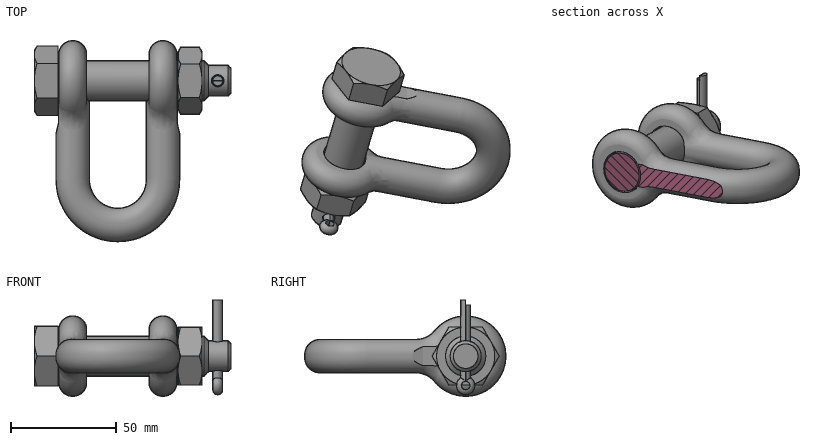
import cadquery as cq
import math


leg_x = 21.4
bar_size = 15.95
bar_flat = 1.2
bar_corner = (bar_size - bar_flat) / 2
leg_outer_x = leg_x + bar_size / 2
bow_y = -76.4
bend_y = bow_y + leg_outer_x

eye_radius = 19.1
eye_width = 13.2
eye_rim_radius = 6.7
eye_bore_radius = 10.1
eye_blend = 11.5

relief_x = 28.3
relief_level_y = -20.2
relief_end_y = -25.1

shank_radius = 9.55
head_start_x = -39.6
head_end_x = -28.4
head_width = 28.6
neck_radius = 7.4
bolt_end_x = 53.8
cone_start_x = 40.9
cone_end_x = cone_start_x + shank_radius - neck_radius
bolt_end_chamfer = 1.5

nut_start_x = 28.6
nut_end_x = 39.9
nut_width = 27.6
hex_chamfer_angle = 30.0

cotter_x = 47.4
cotter_radius = 2.4
cotter_hole_radius = 2.9
cotter_slit = 0.1
front_prong_top = 26.6
back_prong_top = 24.4
loop_inner_radius = 2.0
loop_outer_radius = loop_inner_radius + cotter_radius
loop_bottom_z = -18.3
loop_z = loop_bottom_z + loop_outer_radius


def x_cylinder(radius, start_x, end_x):
    """A cylinder on the bolt axis."""
    return cq.Workplane("YZ", origin=(start_x, 0, 0)).circle(radius).extrude(end_x - start_x)


def bar_section():
    """The rounded square section of the bar, where the left leg meets the bend."""
    section = cq.Sketch().rect(bar_size, bar_size).vertices().fillet(bar_corner)
    return cq.Workplane("XZ", origin=(-leg_x, bend_y, 0)).placeSketch(section)


def make_eye():
    """The left eye as a disc with a round rim."""
    rim_centre = eye_radius - eye_rim_radius
    face_radius = rim_centre + math.sqrt(eye_rim_radius ** 2 - (eye_width / 2) ** 2)
    left_x = -leg_x - eye_width / 2
    right_x = -leg_x + eye_width / 2
    return (
        cq.Workplane("XY")
        .moveTo(left_x, 0)
        .lineTo(left_x, face_radius)
        .threePointArc((-leg_x, eye_radius), (right_x, face_radius))
        .lineTo(right_x, 0)
        .close()
        .revolve(360, (0, 0, 0), (1, 0, 0))
    )


def make_relief():
    """The material taken off the outside of the left leg."""
    return (
        cq.Workplane("XY")
        .moveTo(-relief_x, 0)
        .lineTo(-relief_x, relief_level_y)
        .lineTo(-leg_outer_x, relief_end_y)
        .lineTo(-leg_outer_x, 0)
        .close()
        .extrude(bar_size / 2, both=True)
    )


def make_left_leg():
    """The left leg with its eye, blended, relieved and bored."""
    leg = bar_section().extrude(bend_y).union(make_eye())
    seam_box = cq.selectors.BoxSelector(
        (-leg_outer_x, -eye_radius, -bar_size),
        (0, -eye_radius / 4, bar_size),
    )
    blended = leg.edges(seam_box).fillet(eye_blend)
    bore = x_cylinder(eye_bore_radius, -leg_outer_x, 0)
    return blended.cut(make_relief()).cut(bore)


def make_shackle():
    """Both legs joined by the half-circle bend."""
    left_leg = make_left_leg()
    bend = bar_section().revolve(180, (leg_x, 0, 0), (leg_x, 1, 0))
    return left_leg.union(bend).union(left_leg.mirror("YZ"))


def make_hex(width, start_x, end_x):
    """A hexagonal prism on the bolt axis, with flats facing up and down."""
    corner_diameter = width / math.cos(math.pi / 6)
    prism = cq.Workplane("YZ", origin=(start_x, 0, 0)).polygon(6, corner_diameter)
    return prism.extrude(end_x - start_x)


def hex_chamfer_cone(width, face_x, inward):
    """A cone that trims the corners of a hexagon at one end face; inward is its X direction."""
    face_radius = width / 2
    base_radius = width
    height = (base_radius - face_radius) * math.tan(math.radians(hex_chamfer_angle))
    base_x = face_x + inward * height
    far_x = face_x + inward * 2 * width
    return (
        cq.Workplane("XY")
        .moveTo(face_x, 0)
        .lineTo(face_x, face_radius)
        .lineTo(base_x, base_radius)
        .lineTo(far_x, base_radius)
        .lineTo(far_x, 0)
        .close()
        .revolve(360, (0, 0, 0), (1, 0, 0))
    )


def make_bolt():
    """Hexagon head, shank, cone and neck, with a cross hole for the cotter pin."""
    head = make_hex(head_width, head_start_x, head_end_x)
    head = head.intersect(hex_chamfer_cone(head_width, head_start_x, 1))
    shank = (
        cq.Workplane("XY")
        .moveTo(head_end_x, 0)
        .lineTo(head_end_x, shank_radius)
        .lineTo(cone_start_x, shank_radius)
        .lineTo(cone_end_x, neck_radius)
        .lineTo(bolt_end_x - bolt_end_chamfer, neck_radius)
        .lineTo(bolt_end_x, neck_radius - bolt_end_chamfer)
        .lineTo(bolt_end_x, 0)
        .close()
        .revolve(360, (0, 0, 0), (1, 0, 0))
    )
    cotter_hole = (
        cq.Workplane("XY", origin=(cotter_x, 0, 0))
        .circle(cotter_hole_radius)
        .extrude(shank_radius, both=True)
    )
    return head.union(shank).cut(cotter_hole)


def make_nut():
    """A hexagon chamfered at both ends, bored to the shank."""
    nut = make_hex(nut_width, nut_start_x, nut_end_x)
    nut = nut.intersect(hex_chamfer_cone(nut_width, nut_start_x, 1))
    nut = nut.intersect(hex_chamfer_cone(nut_width, nut_end_x, -1))
    return nut.cut(x_cylinder(shank_radius, nut_start_x, nut_end_x))


def make_prong(side, top_z):
    """A half-round prong rising from the loop; side is -1 at the front and 1 at the back."""
    rod = cq.Workplane("XY", origin=(cotter_x, 0, loop_z)).circle(cotter_radius).extrude(top_z - loop_z)
    half = (
        cq.Workplane("XY", origin=(cotter_x, side * cotter_radius / 2, loop_z))
        .rect(2 * cotter_radius, cotter_radius)
        .extrude(top_z - loop_z)
    )
    return rod.intersect(half)


def make_cotter():
    """Two half-round prongs joined by a half-round loop below the bolt."""
    loop = (
        cq.Workplane("XY", origin=(cotter_x, 0, loop_z))
        .moveTo(-cotter_radius, -loop_inner_radius)
        .threePointArc((0, -loop_outer_radius), (cotter_radius, -loop_inner_radius))
        .close()
        .revolve(360, (0, 0, 0), (1, 0, 0))
    )
    slit = (
        cq.Workplane("XY", origin=(cotter_x, 0, loop_z))
        .rect(2 * cotter_radius, cotter_slit)
        .extrude(front_prong_top - loop_z)
    )
    eyelet = x_cylinder(loop_inner_radius, cotter_x - cotter_radius, cotter_x + cotter_radius)
    eyelet = eyelet.translate((0, 0, loop_z))
    cotter = make_prong(-1, front_prong_top).union(make_prong(1, back_prong_top)).union(loop)
    return cotter.cut(slit).cut(eyelet)


shackle = make_shackle()
bolt = make_bolt()
nut = make_nut()
cotter = make_cotter()

result = cq.Compound.makeCompound([shackle.val(), bolt.val(), nut.val(), cotter.val()])